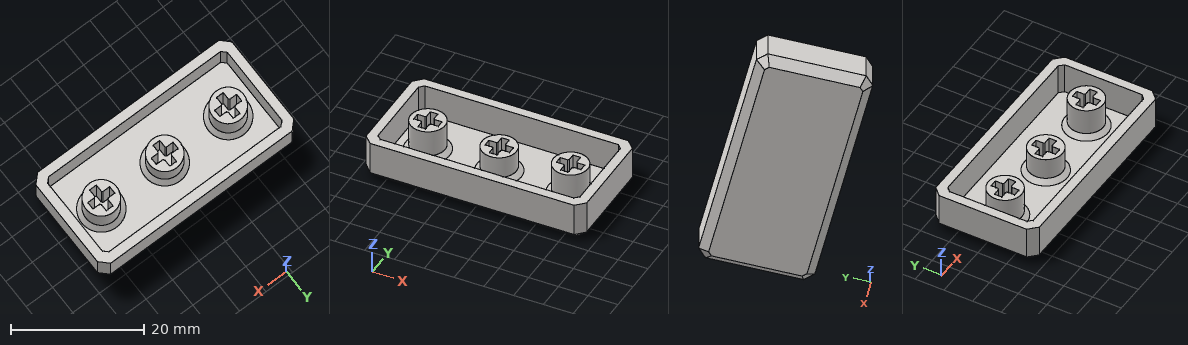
import cadquery as cq

length = 37.1
width = 18.05
height = 6.9
edge_chamfer = 1.4

wall = 1.6
floor = 1.6
cavity_corner_chamfer = 0.7

stem_pitch = 12.0
stem_diameter = 5.8
middle_stem_drop = 0.8
outer_stem_top = height
middle_stem_top = height - middle_stem_drop
stem_base_flare = 0.8

cross_span = 4.1
cross_slot_width = 1.25
cross_corner_chamfer = 0.2


def make_shell():
    body = cq.Workplane("XY").box(length, width, height, centered=(True, True, False))
    body = body.edges("|Z").chamfer(edge_chamfer)
    body = body.faces("<Z").edges().chamfer(edge_chamfer)
    cavity = (
        cq.Workplane("XY")
        .workplane(offset=floor)
        .rect(length - 2 * wall, width - 2 * wall)
        .extrude(height - floor)
        .edges("|Z")
        .chamfer(cavity_corner_chamfer)
    )
    return body.cut(cavity)


def make_post(top):
    """Round post with a conical foot, revolved about the Z axis."""
    radius = stem_diameter / 2
    foot_radius = radius + stem_base_flare
    return (
        cq.Workplane("XZ")
        .moveTo(0, floor)
        .lineTo(foot_radius, floor)
        .lineTo(radius, floor + stem_base_flare)
        .lineTo(radius, top)
        .lineTo(0, top)
        .close()
        .revolve(360, (0, 0), (0, 1))
    )


def make_cross(top):
    """Cross-shaped prism whose four inner corners are bevelled."""
    depth = top - floor
    base = cq.Workplane("XY").workplane(offset=floor)
    slot_x = base.rect(cross_span, cross_slot_width).extrude(depth)
    slot_y = base.rect(cross_slot_width, cross_span).extrude(depth)
    inner_corners = cq.selectors.BoxSelector(
        (-cross_slot_width, -cross_slot_width, floor),
        (cross_slot_width, cross_slot_width, top),
    )
    return slot_x.union(slot_y).edges("|Z").edges(inner_corners).chamfer(cross_corner_chamfer)


def make_stem(top):
    return make_post(top).cut(make_cross(top))


result = make_shell()
for stem_x, top in (
    (-stem_pitch, outer_stem_top),
    (0, middle_stem_top),
    (stem_pitch, outer_stem_top),
):
    result = result.union(make_stem(top).translate((stem_x, 0, 0)))